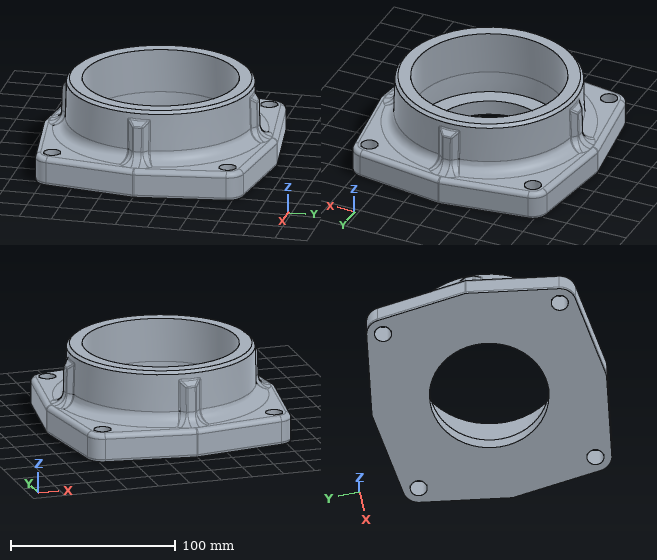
import cadquery as cq
import math

PLATE_REACH = 73.0
PEAK_FLAT = 0.9
PLATE_LEAN = 8.1
PLATE_HEIGHT = 17.8
CORNER_RADIUS = 10.2
PLATE_TOP_ROUND = 3.2
BOTTOM_BEVEL_HEIGHT = 1.6
BOTTOM_BEVEL_WIDTH = 0.3

HOLE_OFFSET = 54.9
HOLE_DIAMETER = 10.4

TOTAL_HEIGHT = 50.8
BARREL_FOOT_RADIUS = 58.4
BARREL_TOP_RADIUS = 57.5
BARREL_TOP_BEVEL = 1.9
FOOT_ROUND = 7.7

BORE_MOUTH_RADIUS = 47.9
BORE_FLOOR_RADIUS = 47.2
BORE_TAPER_START = 23.4
BORE_FLOOR_HEIGHT = 9.6
THROAT_RADIUS = 36.4

RIB_COUNT = 4
RIB_FACE_WIDTH = 5.8
RIB_FACE_RADIUS_FOOT = 61.6
RIB_FACE_RADIUS_TOP = 61.0
RIB_FACE_HEIGHT = 41.5
RIB_CORE_RADIUS = 54.0
RIB_EDGE_ROUND = 1.3
RIB_ROOT_ROUND = 1.5

RIB_PEAK_HEIGHT = RIB_FACE_HEIGHT + RIB_FACE_RADIUS_TOP - RIB_CORE_RADIUS
TOLERANCE = 0.01
MARGIN = 1.5


def select_edges(body, wanted):
    return body.newObject([edge for edge in body.edges().vals() if wanted(edge)])


def in_plate_top(edge):
    box = edge.BoundingBox()
    return max(abs(box.zmin - PLATE_HEIGHT), abs(box.zmax - PLATE_HEIGHT)) < TOLERANCE


def start_radius(edge):
    start = edge.startPoint()
    return math.hypot(start.x, start.y)


def plate():
    half_flat = PEAK_FLAT / 2
    lean = math.tan(math.radians(PLATE_LEAN))
    corner = (PLATE_REACH + half_flat * lean) / (1 + lean)
    outline = []
    quarter = [(PLATE_REACH, -half_flat), (PLATE_REACH, half_flat), (corner, corner)]
    for _ in range(4):
        outline += quarter
        quarter = [(-y, x) for x, y in quarter]
    body = cq.Workplane("XY").polyline(outline).close().extrude(PLATE_HEIGHT)

    def at_corner(edge):
        middle = edge.Center()
        upright = edge.BoundingBox().zlen > PLATE_HEIGHT - TOLERANCE
        return upright and math.hypot(middle.x, middle.y) > PLATE_REACH + MARGIN

    return select_edges(body, at_corner).fillet(CORNER_RADIUS)


def barrel():
    profile_plane = cq.Plane((0, 0, 0), xDir=(1, 1, 0), normal=(1, -1, 0))
    profile = [
        (0, 0),
        (BARREL_FOOT_RADIUS, 0),
        (BARREL_FOOT_RADIUS, PLATE_HEIGHT),
        (BARREL_TOP_RADIUS, TOTAL_HEIGHT),
        (0, TOTAL_HEIGHT),
    ]
    return cq.Workplane(profile_plane).polyline(profile).close().revolve(360, (0, 0), (0, 1))


def rib_section(height, face_radius):
    half_face = RIB_FACE_WIDTH / 2
    half_core = half_face + face_radius - RIB_CORE_RADIUS
    points = [
        (RIB_CORE_RADIUS, -half_core, height),
        (face_radius, -half_face, height),
        (face_radius, half_face, height),
        (RIB_CORE_RADIUS, half_core, height),
    ]
    return cq.Wire.makePolygon([cq.Vector(*point) for point in points], close=True)


def rib():
    foot = rib_section(PLATE_HEIGHT, RIB_FACE_RADIUS_FOOT)
    head = rib_section(RIB_PEAK_HEIGHT, RIB_FACE_RADIUS_TOP)
    body = cq.Workplane(cq.Solid.makeLoft([foot, head], True))

    drop = RIB_PEAK_HEIGHT - PLATE_HEIGHT
    above_slope = [
        (RIB_CORE_RADIUS, RIB_PEAK_HEIGHT),
        (RIB_CORE_RADIUS + drop, RIB_PEAK_HEIGHT),
        (RIB_CORE_RADIUS + drop, RIB_PEAK_HEIGHT - drop),
    ]
    body = body.cut(cq.Workplane("XZ").polyline(above_slope).close().extrude(drop, both=True))

    def exposed(edge):
        middle = edge.Center()
        return middle.x > RIB_CORE_RADIUS + MARGIN and middle.z > PLATE_HEIGHT + MARGIN

    return select_edges(body, exposed).fillet(RIB_EDGE_ROUND)


def blend_foot(body):
    def at_foot(edge):
        return in_plate_top(edge) and start_radius(edge) < RIB_FACE_RADIUS_FOOT + MARGIN

    return select_edges(body, at_foot).fillet(FOOT_ROUND)


def blend_rib_roots(body):
    def at_rib_root(edge):
        box = edge.BoundingBox()
        on_barrel = abs(start_radius(edge) - BARREL_FOOT_RADIUS) < MARGIN
        reaches_up = RIB_FACE_HEIGHT < box.zmax < RIB_PEAK_HEIGHT
        return on_barrel and reaches_up and box.zlen > FOOT_ROUND

    return select_edges(body, at_rib_root).fillet(RIB_ROOT_ROUND)


def round_plate_top(body):
    def at_rim(edge):
        middle = edge.Center()
        beyond_blend = BARREL_FOOT_RADIUS + FOOT_ROUND + PLATE_TOP_ROUND
        return in_plate_top(edge) and math.hypot(middle.x, middle.y) > beyond_blend

    return select_edges(body, at_rim).fillet(PLATE_TOP_ROUND)


def bore():
    profile = [
        (0, 0),
        (THROAT_RADIUS, 0),
        (THROAT_RADIUS, BORE_FLOOR_HEIGHT),
        (BORE_FLOOR_RADIUS, BORE_FLOOR_HEIGHT),
        (BORE_MOUTH_RADIUS, BORE_TAPER_START),
        (BORE_MOUTH_RADIUS, TOTAL_HEIGHT),
        (0, TOTAL_HEIGHT),
    ]
    return cq.Workplane("XZ").polyline(profile).close().revolve(360, (0, 0), (0, 1))


def bolt_holes():
    spacing = 2 * HOLE_OFFSET
    centres = cq.Workplane("XY").rect(spacing, spacing, forConstruction=True).vertices()
    return centres.circle(HOLE_DIAMETER / 2).extrude(PLATE_HEIGHT)


solid = plate().union(barrel())
for index in range(RIB_COUNT):
    solid = solid.union(rib().rotate((0, 0, 0), (0, 0, 1), index * 360 / RIB_COUNT))
solid = blend_foot(solid)
solid = blend_rib_roots(solid)
solid = round_plate_top(solid)
solid = solid.faces(">Z").edges().chamfer(BARREL_TOP_BEVEL)
bottom_edges = solid.faces("<Z").edges()
solid = bottom_edges.chamfer(BOTTOM_BEVEL_HEIGHT, BOTTOM_BEVEL_WIDTH)
result = solid.cut(bore()).cut(bolt_holes())